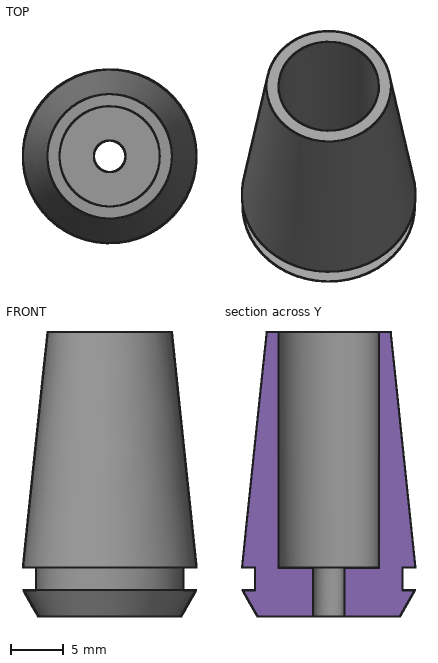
import cadquery as cq

height = 27.0
collar_height = 2.5
groove_width = 2.13
groove_top = collar_height + groove_width
bore_floor = groove_top

body_base_diameter = 16.5
body_top_diameter = 11.8
collar_top_diameter = 16.4
collar_bottom_diameter = 13.53
groove_diameter = 14.05
bore_diameter = 9.5
through_hole_diameter = 2.97

outer_profile = [
    (0, 0),
    (collar_bottom_diameter / 2, 0),
    (collar_top_diameter / 2, collar_height),
    (groove_diameter / 2, collar_height),
    (groove_diameter / 2, groove_top),
    (body_base_diameter / 2, groove_top),
    (body_top_diameter / 2, height),
    (0, height),
]
body = cq.Workplane("XZ").polyline(outer_profile).close().revolve(360, (0, 0), (0, 1))

bore = cq.Workplane("XY").workplane(offset=bore_floor).circle(bore_diameter / 2).extrude(height - bore_floor)

through_hole = cq.Workplane("XY").circle(through_hole_diameter / 2).extrude(height)

result = body.cut(bore).cut(through_hole)